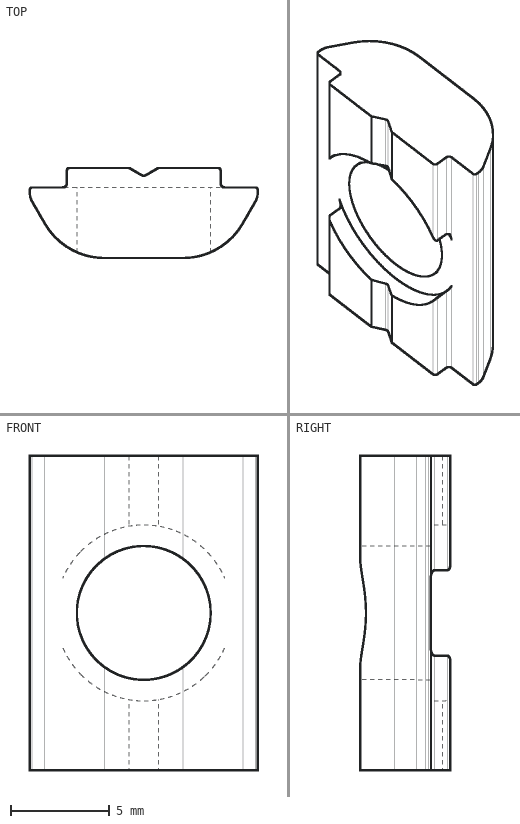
import cadquery as cq
import math

length = 16.0
width = 11.6
depth = 4.6

rail_width = 7.84
rail_height = 1.0
rail_corner_radius = 0.16
rail_root_radius = 0.2

front_flat_width = 4.0
front_radius = 3.5
flank_angle = math.radians(60)
flange_corner_radius = 0.13
flank_blend_radius = 0.9

groove_width = 1.5
groove_depth = 0.43
groove_root_radius = 0.2

hole_diameter = 6.8
counterbore_diameter = 8.96

half_width = width / 2
back_y = depth / 2
front_y = -depth / 2
shoulder_y = back_y - rail_height

arc_end_x = front_flat_width / 2 + front_radius * math.sin(flank_angle)
arc_end_y = front_y + front_radius * (1 - math.cos(flank_angle))
arc_mid_x = front_flat_width / 2 + front_radius * math.sin(flank_angle / 2)
arc_mid_y = front_y + front_radius * (1 - math.cos(flank_angle / 2))
side_y = arc_end_y + (half_width - arc_end_x) * math.tan(flank_angle)


def lengthwise_edges_at(solid, points, radius):
    """Round the Z-direction edges passing through the given XY points."""
    for x, y in points:
        solid = solid.edges(cq.selectors.NearestToPointSelector((x, y, 0))).fillet(radius)
    return solid


def make_body():
    """Extrude the flanged section, centred on the origin along Z."""
    body = (
        cq.Workplane("XY")
        .workplane(offset=-length / 2)
        .moveTo(-front_flat_width / 2, front_y)
        .lineTo(front_flat_width / 2, front_y)
        .threePointArc((arc_mid_x, arc_mid_y), (arc_end_x, arc_end_y))
        .lineTo(half_width, side_y)
        .lineTo(half_width, shoulder_y)
        .lineTo(-half_width, shoulder_y)
        .lineTo(-half_width, side_y)
        .lineTo(-arc_end_x, arc_end_y)
        .threePointArc((-arc_mid_x, arc_mid_y), (-front_flat_width / 2, front_y))
        .close()
        .extrude(length)
    )
    sides = (-1, 1)
    body = lengthwise_edges_at(body, [(s * half_width, side_y) for s in sides], flank_blend_radius)
    return lengthwise_edges_at(body, [(s * half_width, shoulder_y) for s in sides], flange_corner_radius)


def add_rail(body):
    """Add the full-length rail to the back shoulder and round its long edges."""
    rail = cq.Workplane("XY").box(rail_width, rail_height, length)
    solid = body.union(rail.translate((0, back_y - rail_height / 2, 0)))
    edge_x = (-rail_width / 2, rail_width / 2)
    solid = lengthwise_edges_at(solid, [(x, shoulder_y) for x in edge_x], rail_root_radius)
    return lengthwise_edges_at(solid, [(x, back_y) for x in edge_x], rail_corner_radius)


def cut_groove(solid):
    """Cut the V groove with a rounded root along the whole rail."""
    groove = (
        cq.Workplane("XY")
        .workplane(offset=-length / 2)
        .polyline([
            (-groove_width / 2, back_y),
            (0, back_y - groove_depth),
            (groove_width / 2, back_y),
        ])
        .close()
        .extrude(length)
        .edges("|Z and <Y")
        .fillet(groove_root_radius)
    )
    return solid.cut(groove)


def cut_hole(solid):
    """Cut the through hole and the counterbore that clears the rail down to the shoulder."""
    hole = cq.Workplane("XZ").circle(hole_diameter / 2).extrude(depth, both=True)
    counterbore = (
        cq.Workplane("XZ", origin=(0, back_y, 0))
        .circle(counterbore_diameter / 2)
        .extrude(rail_height)
    )
    return solid.cut(hole).cut(counterbore)


result = cut_hole(cut_groove(add_rail(make_body())))